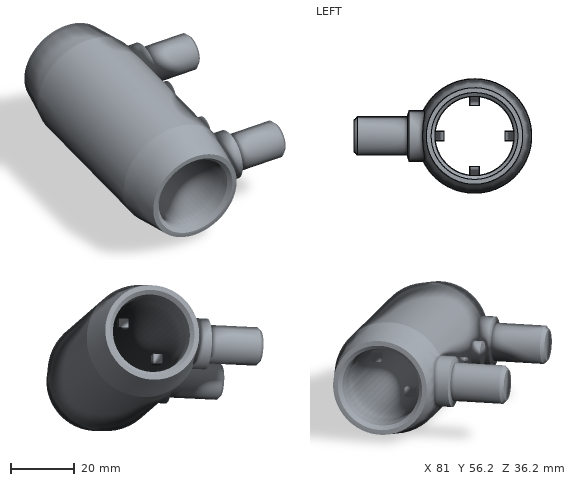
import cadquery as cq

length = 81.0
body_radius = 18.1
end_radius = 15.2
straight_half = 27.0
bore_radius = 12.5
bore_chamfer = 1.2

stud_x = straight_half
stud_radius = 6.1
stud_end_y = 38.1
stud_chamfer = 1.1
collar_radius = 8.0
collar_top_y = 21.15
collar_chamfer_height = 0.5
collar_chamfer_width = 1.6

peg_x = 10.9
peg_radius = 4.0
peg_top_y = 20.7

stop_width = 3.1
stop_inner_radius = 9.55
stop_count = 4

half_length = length / 2
root_y = (bore_radius + end_radius) / 2


def make_sleeve():
    """Solid cylinder with conical ends, revolved about X."""
    return (
        cq.Workplane("XY")
        .moveTo(-half_length, 0)
        .lineTo(-half_length, end_radius)
        .lineTo(-straight_half, body_radius)
        .lineTo(straight_half, body_radius)
        .lineTo(half_length, end_radius)
        .lineTo(half_length, 0)
        .close()
        .revolve(360, (0, 0, 0), (1, 0, 0))
    )


def make_bore():
    """Through bore with a chamfered mouth at each end."""
    mouth_radius = bore_radius + bore_chamfer
    chamfer_x = half_length - bore_chamfer
    return (
        cq.Workplane("XY")
        .moveTo(-half_length, 0)
        .lineTo(-half_length, mouth_radius)
        .lineTo(-chamfer_x, bore_radius)
        .lineTo(chamfer_x, bore_radius)
        .lineTo(half_length, mouth_radius)
        .lineTo(half_length, 0)
        .close()
        .revolve(360, (0, 0, 0), (1, 0, 0))
    )


def make_post(x, radius, start_y, end_y):
    """Round post pointing along +Y."""
    axis_plane = cq.Plane(origin=(x, start_y, 0), xDir=(1, 0, 0), normal=(0, 1, 0))
    return cq.Workplane(axis_plane).circle(radius).extrude(end_y - start_y)


def make_stud(x):
    """Collar with a chamfered stud on top."""
    collar = make_post(x, collar_radius, 0, collar_top_y)
    collar = collar.faces(">Y").chamfer(collar_chamfer_height, collar_chamfer_width)
    stud = make_post(x, stud_radius, 0, stud_end_y).faces(">Y").chamfer(stud_chamfer)
    return collar.union(stud)


def make_stop(angle):
    """Small block reaching from the sleeve wall into the bore."""
    stop_height = root_y - stop_inner_radius
    block = cq.Workplane("XY").box(stop_width, stop_height, stop_width)
    block = block.translate((0, stop_inner_radius + stop_height / 2, 0))
    return block.rotate((0, 0, 0), (1, 0, 0), angle)


result = make_sleeve()
for side in (-1, 1):
    result = result.union(make_stud(side * stud_x))
    result = result.union(make_post(side * peg_x, peg_radius, root_y, peg_top_y))

result = result.cut(make_bore())
for index in range(stop_count):
    result = result.union(make_stop(index * 360 / stop_count))